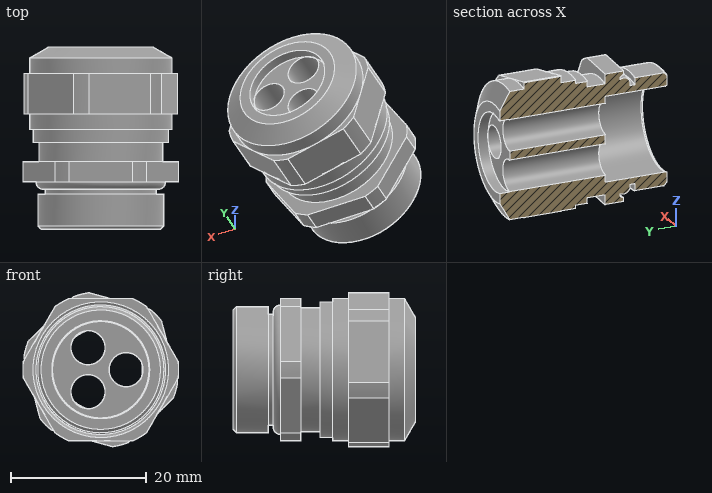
import cadquery as cq
import math


spigot_end = 5.2
bead_start = 5.9
body_hex_start = 7.0
body_hex_end = 10.0
neck_end = 12.8
collar_end = 14.7
nut_hex_start = 17.0
nut_hex_end = 23.0
total_length = 26.9

spigot_diameter = 18.6
undercut_diameter = 16.4
bead_diameter = 19.1
neck_diameter = 18.3
collar_diameter = 20.0
nut_diameter = 21.0
nut_mouth_rim_diameter = 15.4

spigot_chamfer = 0.5
bead_radius = 1.1
nut_cone_angle = 60.0
bead_groove_diameter = 20.0
bead_groove_depth = 0.54

across_flats = 21.0
corner_diameter = 23.0
nut_hex_turn = -15.3

bore_diameter = 14.2
bore_depth = 9.9
bore_chamfer_width = 0.13
bore_chamfer_length = 0.3
cable_hole_diameter = 5.0
cable_hole_count = 3
cable_hole_circle_radius = 3.75
mouth_diameter = 12.2
mouth_depth = 1.6


def cylinder(diameter, start, end):
    """Solid cylinder on the Y axis between two stations."""
    profile = cq.Workplane("XZ", origin=(0, start, 0)).circle(diameter / 2)
    return profile.extrude(start - end)


def revolve_about_axis(profile):
    """Turn a closed profile, drawn as radius against Y, about the Y axis."""
    return profile.close().revolve(360, (0, 0, 0), (0, 1, 0))


def rounded_hexagon(start, end, turn):
    """Hexagon with flats facing +Z and -Z before the turn, its corners cut by a cylinder."""
    point_diameter = across_flats / math.cos(math.pi / 6)
    hexagon = cq.Workplane("XZ", origin=(0, start, 0)).polygon(6, point_diameter).extrude(start - end)
    hexagon = hexagon.rotate((0, 0, 0), (0, 1, 0), -turn)
    return hexagon.intersect(cylinder(corner_diameter, start, end))


def spigot():
    thread = cylinder(spigot_diameter, 0, spigot_end).faces("<Y").chamfer(spigot_chamfer)
    return thread.union(cylinder(undercut_diameter, spigot_end, body_hex_end))


def sealing_bead():
    """Ring of round section, partly sunk into the groove of the body hexagon."""
    section_centre = bead_diameter / 2 - bead_radius
    profile = cq.Workplane("XY").center(-section_centre, bead_start + bead_radius).circle(bead_radius)
    return profile.revolve(360, (section_centre, 0, 0), (section_centre, 1, 0))


def bead_groove():
    """Seat of the bead in the front face of the body hexagon, with a rounded outer wall."""
    inner = undercut_diameter / 2
    outer = bead_groove_diameter / 2
    wall_foot = outer - bead_groove_depth
    floor = body_hex_start + bead_groove_depth
    middle = bead_groove_depth * math.sqrt(0.5)
    profile = (
        cq.Workplane("XY")
        .moveTo(inner, body_hex_start)
        .lineTo(outer, body_hex_start)
        .threePointArc((wall_foot + middle, body_hex_start + middle), (wall_foot, floor))
        .lineTo(inner, floor)
    )
    return revolve_about_axis(profile)


def body():
    hexagon = rounded_hexagon(body_hex_start, body_hex_end, 0).cut(bead_groove())
    neck = cylinder(neck_diameter, body_hex_end, neck_end)
    collar = cylinder(collar_diameter, neck_end, collar_end)
    return spigot().union(sealing_bead()).union(hexagon).union(neck).union(collar)


def cap_nut():
    """Round nut with a hexagon band and a conical end."""
    nut_radius = nut_diameter / 2
    rim_radius = nut_mouth_rim_diameter / 2
    cone_length = (nut_radius - rim_radius) / math.tan(math.radians(nut_cone_angle))
    profile = (
        cq.Workplane("XY")
        .moveTo(0, collar_end)
        .lineTo(nut_radius, collar_end)
        .lineTo(nut_radius, total_length - cone_length)
        .lineTo(rim_radius, total_length)
        .lineTo(0, total_length)
    )
    return revolve_about_axis(profile).union(rounded_hexagon(nut_hex_start, nut_hex_end, nut_hex_turn))


def bore():
    """Blind bore from the spigot end, with a small chamfer at its edge."""
    edge_radius = bore_diameter / 2 + bore_chamfer_width
    profile = (
        cq.Workplane("XY")
        .moveTo(0, 0)
        .lineTo(edge_radius, 0)
        .lineTo(bore_diameter / 2, bore_chamfer_length)
        .lineTo(bore_diameter / 2, bore_depth)
        .lineTo(0, bore_depth)
    )
    return revolve_about_axis(profile)


def cable_holes():
    """Holes through the seal, from the bore to the mouth of the nut."""
    mouth_floor = total_length - mouth_depth
    return (
        cq.Workplane("XZ", origin=(0, bore_depth, 0))
        .polarArray(cable_hole_circle_radius, 0, 360, cable_hole_count)
        .circle(cable_hole_diameter / 2)
        .extrude(bore_depth - mouth_floor)
    )


def nut_mouth():
    return cylinder(mouth_diameter, total_length - mouth_depth, total_length)


result = body().union(cap_nut()).cut(bore()).cut(cable_holes()).cut(nut_mouth())